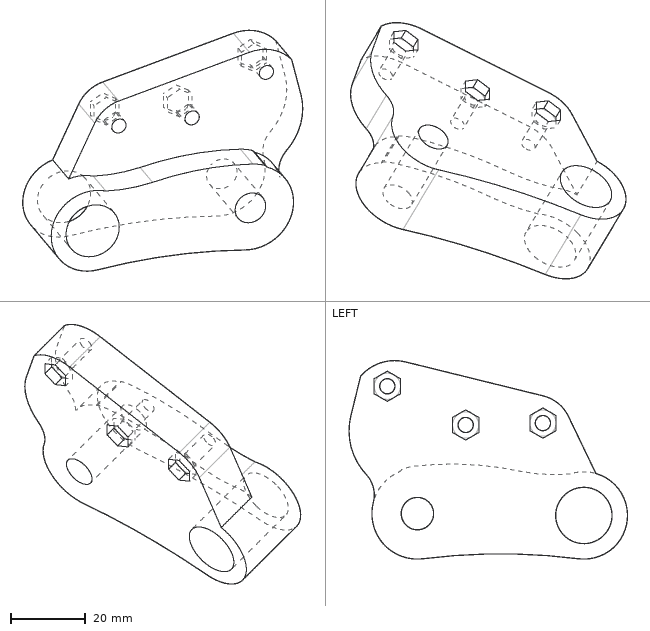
import math

import cadquery as cq


PLATE_THICKNESS = 13.5
TOTAL_THICKNESS = 24.0

BOSS_CENTER = (0.0, 0.0)
BOSS_RADIUS = 11.7
BORE_DIAMETER = 15.0

LOBE_CENTER = (44.5, 0.5)
LOBE_RADIUS = 12.2
PIVOT_DIAMETER = 8.6

BOTTOM_HOLLOW_RADIUS = 165.0

REAR_CORNER_RADIUS = 12.0
REAR_CORNER_CENTER = (50.6, 29.45)
FRONT_CORNER_RADIUS = 10.2
FRONT_CORNER_CENTER = (13.3, 22.1)
FRONT_EDGE_ANGLE = 244.3
REAR_BULGE_CENTER = (45.82, 22.6)
REAR_BULGE_RADIUS = 17.0
REAR_HOLLOW_RADIUS = 8.0

HOLLOW_START_Y = 3.7
CROWN_START = (16.9, 11.8)
CROWN_END = (45.2, 13.2)
SHOULDER_END = (48.6, 12.35)
LOBE_JOIN_Y = 49.2
SPACER_HOLLOW_RADIUS = 46.0
CROWN_RADIUS = 88.0
SHOULDER_RADIUS = 16.0

SCREW_POSITIONS = [(52.55, 34.55), (31.6, 24.2), (10.95, 24.7)]
SCREW_DIAMETER = 4.0
SCREW_MOUTH_RADIUS = 1.5
NUT_ACROSS_FLATS = 7.0
NUT_DEPTH = 3.0
HEX_HALF_ANGLE = 30
MOUTH_MIDDLE_ANGLE = 225


def offset(point, distance, angle):
    """The point a distance away from another, in a direction given in degrees."""
    turn = math.radians(angle)
    return (point[0] + distance * math.cos(turn), point[1] + distance * math.sin(turn))


def heading(start, end):
    """Direction in degrees from one point to another."""
    return math.degrees(math.atan2(end[1] - start[1], end[0] - start[0]))


def line_meets_circle(start, angle, center, radius, far):
    """Where a ray crosses a circle: its far crossing, or the near one."""
    turn = math.radians(angle)
    dy, dz = start[0] - center[0], start[1] - center[1]
    along = dy * math.cos(turn) + dz * math.sin(turn)
    root = math.sqrt(along**2 - dy**2 - dz**2 + radius**2)
    return offset(start, -along + (root if far else -root), angle)


def height_on_circle(center, radius, y):
    """Point on the upper half of a circle at a given Y."""
    return (y, center[1] + math.sqrt(radius**2 - (y - center[0]) ** 2))


def hollow_between(first, first_radius, second, second_radius, radius):
    """Start, middle and end of a hollow arc tangent to two circles, left of the way from first to second."""
    span = math.dist(first, second)
    reach = first_radius + radius
    other_reach = second_radius + radius
    spread = math.degrees(math.acos((reach**2 + span**2 - other_reach**2) / (2 * reach * span)))
    center = offset(first, reach, heading(first, second) + spread)
    start = offset(center, radius, heading(center, first))
    end = offset(center, radius, heading(center, second))
    chord_middle = ((start[0] + end[0]) / 2, (start[1] + end[1]) / 2)
    middle = offset(center, radius, heading(center, chord_middle))
    return start, middle, end


BOTTOM_HOLLOW = hollow_between(LOBE_CENTER, LOBE_RADIUS, BOSS_CENTER, BOSS_RADIUS, BOTTOM_HOLLOW_RADIUS)
BOSS_TIP = offset(BOSS_CENTER, BOSS_RADIUS, 180)
LOBE_TIP = offset(LOBE_CENTER, LOBE_RADIUS, 0)
LOBE_LOW = offset(LOBE_CENTER, LOBE_RADIUS, -45)


def make_plate():
    """Plate that carries the screw holes."""
    corner_span = math.dist(FRONT_CORNER_CENTER, REAR_CORNER_CENTER)
    radius_growth = REAR_CORNER_RADIUS - FRONT_CORNER_RADIUS
    top_angle = heading(FRONT_CORNER_CENTER, REAR_CORNER_CENTER)
    top_angle += math.degrees(math.asin(radius_growth / corner_span))
    top_normal = top_angle + 90
    front_normal = FRONT_EDGE_ANGLE - 90

    front_edge_top = offset(FRONT_CORNER_CENTER, FRONT_CORNER_RADIUS, front_normal)
    front_edge_foot = line_meets_circle(front_edge_top, FRONT_EDGE_ANGLE, BOSS_CENTER, BOSS_RADIUS, far=False)
    front_corner_middle = offset(FRONT_CORNER_CENTER, FRONT_CORNER_RADIUS, (front_normal + top_normal) / 2)
    top_edge_front = offset(FRONT_CORNER_CENTER, FRONT_CORNER_RADIUS, top_normal)
    top_edge_rear = offset(REAR_CORNER_CENTER, REAR_CORNER_RADIUS, top_normal)

    rear_edge_foot = offset(REAR_BULGE_CENTER, REAR_BULGE_RADIUS, top_angle)
    rear_edge_top = line_meets_circle(rear_edge_foot, top_normal, REAR_CORNER_CENTER, REAR_CORNER_RADIUS, far=True)
    rear_corner_middle = offset(REAR_CORNER_CENTER, REAR_CORNER_RADIUS, (top_angle + top_normal) / 2)
    bulge_tip = offset(REAR_BULGE_CENTER, REAR_BULGE_RADIUS, 0)
    rear_hollow = hollow_between(
        REAR_BULGE_CENTER, REAR_BULGE_RADIUS, LOBE_CENTER, LOBE_RADIUS, REAR_HOLLOW_RADIUS
    )
    hollow_top, hollow_middle, hollow_foot = rear_hollow
    bottom_rear, bottom_middle, bottom_front = BOTTOM_HOLLOW

    return (
        cq.Workplane("YZ")
        .moveTo(*front_edge_foot)
        .lineTo(*front_edge_top)
        .threePointArc(front_corner_middle, top_edge_front)
        .lineTo(*top_edge_rear)
        .threePointArc(rear_corner_middle, rear_edge_top)
        .lineTo(*rear_edge_foot)
        .threePointArc(bulge_tip, hollow_top)
        .threePointArc(hollow_middle, hollow_foot)
        .threePointArc(LOBE_LOW, bottom_rear)
        .threePointArc(bottom_middle, bottom_front)
        .threePointArc(BOSS_TIP, front_edge_foot)
        .close()
        .extrude(PLATE_THICKNESS)
    )


def make_spacer():
    """Lower pad on the +X face of the plate, joining the boss and the lobe."""
    hollow_start = height_on_circle(BOSS_CENTER, BOSS_RADIUS, HOLLOW_START_Y)
    lobe_join = height_on_circle(LOBE_CENTER, LOBE_RADIUS, LOBE_JOIN_Y)
    bottom_rear, bottom_middle, bottom_front = BOTTOM_HOLLOW

    return (
        cq.Workplane("YZ", origin=(PLATE_THICKNESS, 0, 0))
        .moveTo(*hollow_start)
        .radiusArc(CROWN_START, -SPACER_HOLLOW_RADIUS)
        .radiusArc(CROWN_END, CROWN_RADIUS)
        .radiusArc(SHOULDER_END, SHOULDER_RADIUS)
        .lineTo(*lobe_join)
        .threePointArc(LOBE_TIP, bottom_rear)
        .threePointArc(bottom_middle, bottom_front)
        .threePointArc(BOSS_TIP, hollow_start)
        .close()
        .extrude(TOTAL_THICKNESS - PLATE_THICKNESS)
    )


def through_hole(center, diameter):
    """Cutter for a round hole along X through the whole part."""
    return cq.Workplane("YZ").center(*center).circle(diameter / 2).extrude(TOTAL_THICKNESS)


def screw_hole(center):
    """Cutter for a screw hole with a nut pocket and a rounded mouth at the pocket floor."""
    hole_radius = SCREW_DIAMETER / 2
    mouth_radius = hole_radius + SCREW_MOUTH_RADIUS
    mouth_depth = NUT_DEPTH + SCREW_MOUTH_RADIUS
    mouth_middle = offset((mouth_depth, mouth_radius), SCREW_MOUTH_RADIUS, MOUTH_MIDDLE_ANGLE)
    bore = (
        cq.Workplane("XY")
        .moveTo(NUT_DEPTH, 0)
        .lineTo(NUT_DEPTH, mouth_radius)
        .threePointArc(mouth_middle, (mouth_depth, hole_radius))
        .lineTo(PLATE_THICKNESS, hole_radius)
        .lineTo(PLATE_THICKNESS, 0)
        .close()
        .revolve(360, (0, 0, 0), (1, 0, 0))
        .translate((0, *center))
    )
    across_corners = NUT_ACROSS_FLATS / math.cos(math.radians(HEX_HALF_ANGLE))
    pocket = (
        cq.Workplane("YZ", origin=(0, *center))
        .transformed(rotate=(0, 0, 90))
        .polygon(6, across_corners)
        .extrude(NUT_DEPTH)
    )
    return pocket.union(bore)


result = make_plate().union(make_spacer())
result = result.cut(through_hole(BOSS_CENTER, BORE_DIAMETER))
result = result.cut(through_hole(LOBE_CENTER, PIVOT_DIAMETER))
for position in SCREW_POSITIONS:
    result = result.cut(screw_hole(position))